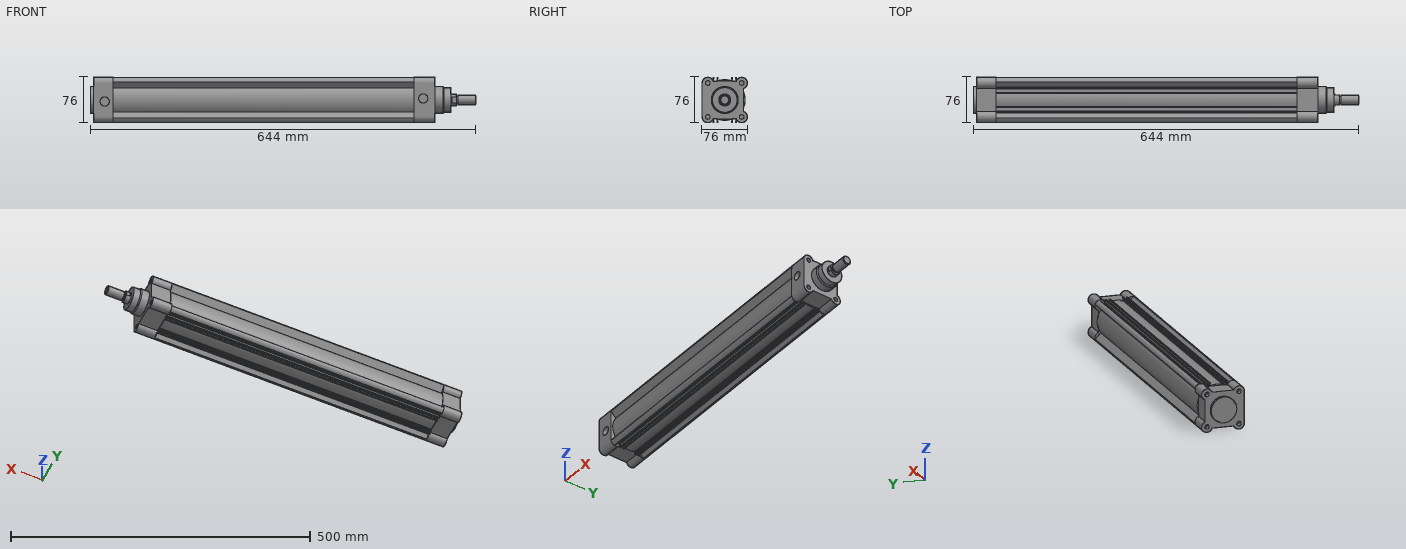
import cadquery as cq
import math

total_length = 644.0
cap_width = 76.0
half_width = cap_width / 2
tie_offset = 28.5
corner_radius = half_width - tie_offset
cap_recess = 31.5
screw_hole_radius = 4.0
screw_hole_depth = 9.5

boss_radius = 22.5
boss_length = 5.0
rear_cap_length = 33.0
barrel_length = 502.0
front_cap_length = 35.0
collar_length = 13.5
nose_radius = 20.5
nose_length = 13.5
nose_chamfer = boss_radius - nose_radius

port_radius = 8.0
port_depth = 13.0
rear_port_x = 24.0
front_port_x = 556.0
port_shift = 2.5

tube_radius = 34.0
groove_edge = 30.0
slot_floor = 31.0
slot_land_edge = 22.0
inner_rail_edge = 13.0
outer_rail_edge = 20.0
rail_top = 37.5
rail_thickness = 0.95
lip_width = 2.0
lip_height = 2.0

rod_radius = 20.0 / 2
shank_length = 9.0
flat_offset = 17.5 / 2
flat_start = 2.0
flat_length = shank_length - flat_start
neck_radius = 6.5
neck_length = 2.5
thread_radius = 16.0 / 2
thread_chamfer = 1.0

rear_cap_start = boss_length
barrel_start = rear_cap_start + rear_cap_length
front_cap_start = barrel_start + barrel_length
front_cap_end = front_cap_start + front_cap_length
nose_start = front_cap_end + collar_length
nose_end = nose_start + nose_length
neck_start = nose_end + shank_length
thread_start = neck_start + neck_length

corners = [(y, z) for y in (-tie_offset, tie_offset) for z in (-tie_offset, tie_offset)]


def section(x):
    """Workplane across the axis: local x is Y, local y is Z, extrusion goes to +X."""
    return cq.Workplane("YZ", origin=(x, 0, 0))


def disc(x, radius, length):
    return section(x).circle(radius).extrude(length)


def corner_lugs(x, length):
    return section(x).pushPoints(corners).circle(corner_radius).extrude(length)


def cap_block(x, length):
    """Square cap recessed on +Y, +Z and -Z, with a plain flat side on -Y."""
    core = section(x).rect(2 * cap_recess, 2 * cap_recess).extrude(length)
    flat_side = (
        section(x)
        .center(-(half_width + tie_offset) / 2, 0)
        .rect(corner_radius, 2 * tie_offset)
        .extrude(length)
    )
    return core.union(flat_side).union(corner_lugs(x, length))


def screw_holes(x):
    return section(x).pushPoints(corners).circle(screw_hole_radius).extrude(screw_hole_depth)


def port(x, z):
    """Blind air port drilled into the -Y side."""
    plane = cq.Workplane("XZ", origin=(x, -half_width, z))
    return plane.circle(port_radius).extrude(-port_depth)


def make_rear_cap():
    cap = cap_block(rear_cap_start, rear_cap_length)
    cap = cap.union(disc(0, boss_radius, boss_length))
    cap = cap.cut(screw_holes(rear_cap_start))
    return cap.cut(port(rear_port_x, -port_shift))


def make_front_cap():
    cap = cap_block(front_cap_start, front_cap_length)
    collar = disc(front_cap_end, boss_radius, collar_length + nose_chamfer)
    collar = collar.faces(">X").chamfer(nose_chamfer)
    cap = cap.union(collar).union(disc(nose_start, nose_radius, nose_length))
    cap = cap.cut(screw_holes(front_cap_end - screw_hole_depth))
    return cap.cut(port(front_port_x, port_shift))


def corner_lug():
    """Rounded +Y +Z corner of the barrel between two groove walls at 45 degrees."""
    lip = tie_offset + math.sqrt(corner_radius**2 - (groove_edge - tie_offset) ** 2)
    wall_shift = lip - groove_edge
    arc_middle = tie_offset + corner_radius * math.sqrt(0.5)
    return (
        section(barrel_start)
        .lineTo(wall_shift, 0)
        .lineTo(lip, groove_edge)
        .threePointArc((arc_middle, arc_middle), (groove_edge, lip))
        .lineTo(0, wall_shift)
        .close()
        .extrude(barrel_length)
    )


def slot_bar(side, outboard, width, bottom, top):
    """Bar along the barrel in its +Z side; outboard is its face away from the middle."""
    return (
        section(barrel_start)
        .center(side * (outboard - width / 2), (bottom + top) / 2)
        .rect(width, top - bottom)
        .extrude(barrel_length)
    )


def sensor_slot(side):
    """Land with a flat slot floor and the two lipped rails that bound the slot."""
    land_width = slot_land_edge - inner_rail_edge + rail_thickness
    slot = slot_bar(side, slot_land_edge, land_width, 0, slot_floor)
    for edge in (inner_rail_edge, outer_rail_edge):
        slot = slot.union(slot_bar(side, edge, rail_thickness, 0, rail_top))
        slot = slot.union(slot_bar(side, edge, lip_width, rail_top - lip_height, rail_top))
    return slot


def make_barrel():
    slot_width = outer_rail_edge - inner_rail_edge
    barrel = disc(barrel_start, tube_radius, barrel_length)
    for turn in (0, 90, 180, 270):
        barrel = barrel.union(corner_lug().rotate((0, 0, 0), (1, 0, 0), turn))
    for turn in (0, 180):
        for side in (-1, 1):
            clearance = slot_bar(side, outer_rail_edge, slot_width, slot_floor, half_width)
            barrel = barrel.cut(clearance.rotate((0, 0, 0), (1, 0, 0), turn))
            barrel = barrel.union(sensor_slot(side).rotate((0, 0, 0), (1, 0, 0), turn))
    return barrel


def make_rod():
    shank = disc(nose_end, rod_radius, shank_length)
    for side in (-1, 1):
        flat = cq.Workplane("XY").box(flat_length, rod_radius, 2 * rod_radius)
        flat_x = nose_end + flat_start + flat_length / 2
        shank = shank.cut(flat.translate((flat_x, side * (flat_offset + rod_radius / 2), 0)))
    neck = disc(neck_start, neck_radius, neck_length)
    thread = disc(thread_start, thread_radius, total_length - thread_start)
    thread = thread.faces(">X").chamfer(thread_chamfer)
    return shank.union(neck).union(thread)


rear_cap = make_rear_cap()
barrel = make_barrel()
front_cap = make_front_cap()
piston_rod = make_rod()

result = cq.Compound.makeCompound([rear_cap.val(), barrel.val(), front_cap.val(), piston_rod.val()])